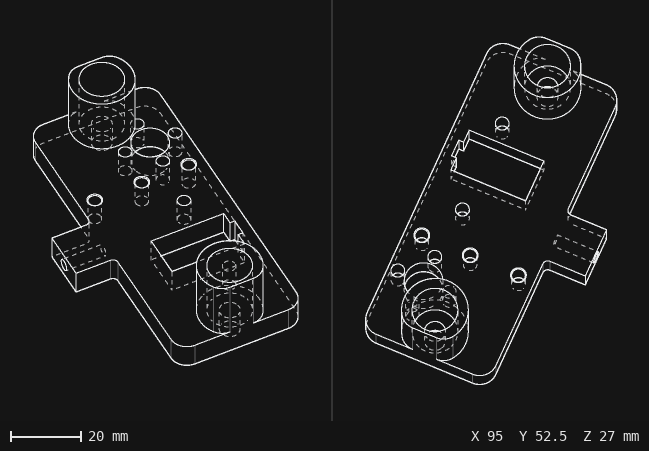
import cadquery as cq

plate_length = 95.0
plate_width = 40.0
plate_thickness = 8.0
corner_radius = 5.0

tab_width = 15.2
tab_length = 12.5
tab_root_radius = 1.5
tab_hole_diameter = 3.4
tab_hole_depth = tab_length

post_offset = 40.0
post_diameter = 19.0
post_height = 19.0
post_edge_radius = 5.0
post_bore_diameter = 13.0
post_bolt_diameter = 6.0

hub_x = -27.5
hub_y = 9.0
hub_diameter = 11.0
hub_ring_radius = 8.0
small_hole_diameter = 3.9

row_x = -15.0
row_pitch = 15.0
row_hole_diameter = 3.9
row_countersink_diameter = 4.5
row_countersink_angle = 90

window_x = 12.8
window_width = 13.0
window_bottom = -7.9
window_top = 15.3
notch_width = 5.1
notch_depth = 1.5
window_screw_x = 10.8
window_screw_y = 7.5
window_screw_spacing = 28.2


def cutter(points, diameter):
    """Vertical cylinders through the plate."""
    return cq.Workplane("XY").pushPoints(points).circle(diameter / 2).extrude(plate_thickness)


def block(x_center, y_low, y_high, width):
    """Block of plate thickness between two Y positions."""
    return (
        cq.Workplane("XY")
        .center(x_center, (y_low + y_high) / 2)
        .rect(width, y_high - y_low)
        .extrude(plate_thickness)
    )


def make_base():
    front_edge = -plate_width / 2
    plate = block(0, front_edge, -front_edge, plate_length).edges("|Z").fillet(corner_radius)
    base = plate.union(block(0, front_edge - tab_length, 0, tab_width))
    roots = cq.selectors.BoxSelector(
        (-tab_width, front_edge - tab_root_radius, 0),
        (tab_width, front_edge + tab_root_radius, plate_thickness),
    )
    return base.edges("|Z").edges(roots).fillet(tab_root_radius)


def make_post(side):
    """Post trimmed flush with the plate end, the edges of its flat rounded."""
    cylinder = (
        cq.Workplane("XY", origin=(side * post_offset, 0, plate_thickness))
        .circle(post_diameter / 2)
        .extrude(post_height)
    )
    envelope = cq.Workplane("XY").box(plate_length, plate_width, 2 * (plate_thickness + post_height))
    post = cylinder.intersect(envelope)
    flat_edges = post.faces(">X" if side > 0 else "<X").edges("|Z")
    post = flat_edges.fillet(post_edge_radius)
    top = post.faces(">Z").workplane(origin=(side * post_offset, 0, 0))
    return top.hole(post_bore_diameter, post_height)


base = make_base()
base = (
    base.faces("<Y")
    .workplane(origin=(0, 0, plate_thickness / 2))
    .hole(tab_hole_diameter, tab_hole_depth)
)

ring_points = [
    (hub_x + dx * hub_ring_radius, hub_y + dy * hub_ring_radius)
    for dx, dy in [(1, 0), (0, 1), (-1, 0), (0, -1)]
]
base = base.cut(cutter([(hub_x, hub_y)], hub_diameter))
base = base.cut(cutter(ring_points, small_hole_diameter))

base = (
    base.faces(">Z")
    .workplane(origin=(0, 0, 0))
    .pushPoints([(row_x, row * row_pitch) for row in (-1, 0, 1)])
    .cskHole(row_hole_diameter, row_countersink_diameter, row_countersink_angle)
)

base = base.cut(block(window_x, window_bottom, window_top, window_width))
base = base.cut(block(window_x, window_bottom, window_top + notch_depth, notch_width))
screw_points = [(window_screw_x + side * window_screw_spacing / 2, window_screw_y) for side in (-1, 1)]
base = base.cut(cutter(screw_points, small_hole_diameter))

base = base.cut(cutter([(side * post_offset, 0) for side in (-1, 1)], post_bolt_diameter))
result = base.union(make_post(-1)).union(make_post(1))